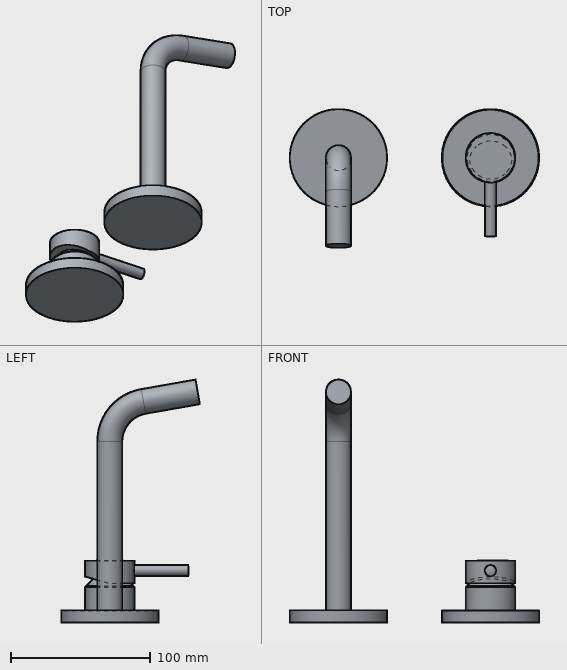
import cadquery as cq
import math

overall_width = 179.0

plate_diameter = 70.0
plate_radius = plate_diameter / 2
plate_height = 9.0
valve_x = overall_width - plate_diameter

tube_diameter = 18.0
tube_radius = tube_diameter / 2
riser_top = 130.0
bend_radius = 29.0
outlet_rise_angle = 10.0
outlet_length = 39.7

valve_plate_chamfer = 0.5
barrel_diameter = 35.6
barrel_radius = barrel_diameter / 2
barrel_top = 26.0
barrel_chamfer = 0.5
cone_radius = 16.8
neck_height = 0.4
cone_angle = 48.0

cap_radius = barrel_radius
cap_bottom = 28.1
cap_top = 44.4
cap_dome_rise = 0.2
underside_angle = 15.0

lever_diameter = 8.0
lever_radius = lever_diameter / 2
lever_z = 37.2
lever_reach = 56.7
lever_dome_rise = 0.5


def make_spout():
    """Bent tube standing on its plate, with the plate centred on the origin."""
    bend_angle = math.radians(90 - outlet_rise_angle)
    half_bend = bend_angle / 2
    rise = math.radians(outlet_rise_angle)

    def bend_point(angle):
        forward = bend_radius * (1 - math.cos(angle))
        return (-forward, riser_top + bend_radius * math.sin(angle))

    bend_end = bend_point(bend_angle)
    outlet_end = (
        bend_end[0] - outlet_length * math.cos(rise),
        bend_end[1] + outlet_length * math.sin(rise),
    )
    path = (
        cq.Workplane("YZ")
        .moveTo(0, plate_height)
        .lineTo(0, riser_top)
        .threePointArc(bend_point(half_bend), bend_end)
        .lineTo(*outlet_end)
    )
    tube = cq.Workplane("XY", origin=(0, 0, plate_height)).circle(tube_radius).sweep(path)
    plate = cq.Workplane("XY").circle(plate_radius).extrude(plate_height)
    return plate.union(tube)


def make_domed_rod(radius, length, dome_rise):
    """Rod along +Z from the origin; its far end is a dome whose tip is at the full length."""
    edge_z = length - dome_rise
    sphere_radius = (radius**2 + dome_rise**2) / (2 * dome_rise)
    half_radius = radius / 2
    half_z = length - sphere_radius + math.sqrt(sphere_radius**2 - half_radius**2)
    return (
        cq.Workplane("XZ")
        .lineTo(radius, 0)
        .lineTo(radius, edge_z)
        .threePointArc((half_radius, half_z), (0, length))
        .close()
        .revolve(360, (0, 0), (0, 1))
    )


def make_cap_space():
    """Everything above the cap's underside, as a block wide enough for the cap, about the Z axis."""
    margin = 1.8
    half_width = cap_radius + margin
    ceiling = cap_top + cap_dome_rise + margin
    back_rise = half_width * math.tan(math.radians(underside_angle))
    return (
        cq.Workplane("YZ")
        .moveTo(-half_width, cap_bottom)
        .lineTo(0, cap_bottom)
        .lineTo(half_width, cap_bottom + back_rise)
        .lineTo(half_width, ceiling)
        .lineTo(-half_width, ceiling)
        .close()
        .extrude(half_width, both=True)
    )


def make_valve_base():
    """Plate, barrel, neck and cone, with the cone trimmed to touch the cap's underside."""
    plate = cq.Workplane("XY").circle(plate_radius).extrude(plate_height)
    plate = plate.faces(">Z").chamfer(valve_plate_chamfer)
    barrel = cq.Workplane("XY").circle(barrel_radius).extrude(barrel_top)
    barrel = barrel.faces(">Z").chamfer(barrel_chamfer)
    neck_top = barrel_top + neck_height
    neck = cq.Workplane("XY").circle(cone_radius).extrude(neck_top)
    cone_height = cone_radius * math.tan(math.radians(cone_angle))
    cone_base = cq.Vector(0, 0, neck_top)
    cone = cq.Workplane(cq.Solid.makeCone(cone_radius, 0, cone_height, cone_base))
    cone = cone.cut(make_cap_space())
    base = plate.union(barrel).union(neck).union(cone)
    return base.translate((valve_x, 0, 0))


def make_handle():
    """Domed cap with its sloped underside, and the lever rod that grows out of it."""
    cap = make_domed_rod(cap_radius, cap_top + cap_dome_rise, cap_dome_rise)
    cap = cap.intersect(make_cap_space())
    lever = make_domed_rod(lever_radius, lever_reach, lever_dome_rise)
    lever = lever.rotate((0, 0, 0), (1, 0, 0), 90).translate((0, 0, lever_z))
    return cap.union(lever).translate((valve_x, 0, 0))


spout = make_spout().solids().val()
valve_base = make_valve_base().solids().val()
handle = make_handle().solids().val()

result = cq.Compound.makeCompound([spout, valve_base, handle])